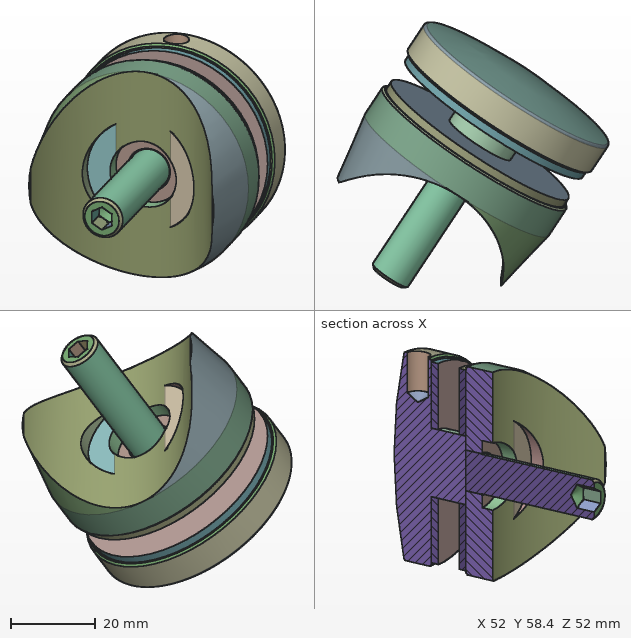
import cadquery as cq
import math


total_length = 58.45
body_diameter = 52.0

dome_height = 3.0
cap_rim_height = 8.0
cap_fillet = 0.7
cap_chamfer = 0.5
boss_diameter = 17.25
spanner_hole_diameter = 6.0
spanner_hole_depth = 10.0
drill_tip_angle = 118.0

gasket_diameter = 50.15
gasket_thickness = 2.0
glass_gap = 6.0

saddle_rim_height = 7.95
saddle_chamfer = 0.45
post_radius = 24.15
horn_height = 16.1
horn_tip_radius = 23.2
horn_middle_radius = 24.55
recess_diameter = 28.0
recess_floor_drop = 1.0
counterbore_diameter = 16.6
counterbore_depth = 3.15
thread_countersink = 0.3

screw_diameter = 10.0
screw_chamfer = 0.7
hex_across_flats = 5.0
hex_depth = 5.0

body_radius = body_diameter / 2
boss_radius = boss_diameter / 2
screw_radius = screw_diameter / 2

dome_edge_y = -dome_height
cap_back_y = dome_edge_y - cap_rim_height
cap_gasket_back_y = cap_back_y - gasket_thickness
saddle_gasket_front_y = cap_gasket_back_y - glass_gap
saddle_top_y = saddle_gasket_front_y - gasket_thickness
seat_y = saddle_top_y - saddle_rim_height
horn_tip_y = seat_y - horn_height
recess_floor_y = seat_y - recess_floor_drop
counterbore_floor_y = seat_y + counterbore_depth
screw_tip_y = -total_length


def cylinder_y(radius, start_y, end_y):
    """Solid cylinder on the Y axis, running in -Y from start_y to end_y."""
    return cq.Workplane("XZ", origin=(0, start_y, 0)).circle(radius).extrude(start_y - end_y)


def revolve_about_y(profile):
    """Turn a closed half profile, drawn in the XY plane, about the Y axis."""
    return profile.revolve(360, (0, 0), (0, 1))


def cone_height(radius):
    """Height of the pointed end that a drill leaves in a blind hole."""
    return radius / math.tan(math.radians(drill_tip_angle / 2))


def make_spanner_hole():
    """Blind drilled hole entering the cap's rim from +Z."""
    radius = spanner_hole_diameter / 2
    floor_z = body_radius - spanner_hole_depth
    hole_y = dome_edge_y - cap_rim_height / 2
    return (
        cq.Workplane("XZ", origin=(0, hole_y, 0))
        .moveTo(0, floor_z - cone_height(radius))
        .lineTo(radius, floor_z)
        .lineTo(radius, body_radius)
        .lineTo(0, body_radius)
        .close()
        .revolve(360, (0, 0), (0, 1))
    )


def make_cap():
    """Domed cap with the boss that passes through the gaskets to the saddle."""
    dome_radius = (body_radius**2 + dome_height**2) / (2 * dome_height)
    arc_middle_x = body_radius / 2
    arc_middle_y = math.sqrt(dome_radius**2 - arc_middle_x**2) - dome_radius
    disc = revolve_about_y(
        cq.Workplane("XY")
        .moveTo(0, 0)
        .threePointArc((arc_middle_x, arc_middle_y), (body_radius, dome_edge_y))
        .lineTo(body_radius, cap_back_y)
        .lineTo(0, cap_back_y)
        .close()
    )
    disc = disc.faces("<Y").edges().chamfer(cap_chamfer)
    rim_point = (0, dome_edge_y, body_radius)
    disc = disc.edges(cq.selectors.NearestToPointSelector(rim_point)).fillet(cap_fillet)
    boss = cylinder_y(boss_radius, cap_back_y, saddle_top_y)
    return disc.union(boss).cut(make_spanner_hole())


def make_gasket(start_y):
    """Flat ring around the boss."""
    end_y = start_y - gasket_thickness
    ring = cylinder_y(gasket_diameter / 2, start_y, end_y)
    return ring.cut(cylinder_y(boss_radius, start_y, end_y))


def make_saddle():
    """Base with two horns that embrace the post, and the threaded hole for the screw."""
    blank = revolve_about_y(
        cq.Workplane("XY")
        .moveTo(0, saddle_top_y)
        .lineTo(body_radius - saddle_chamfer, saddle_top_y)
        .lineTo(body_radius, saddle_top_y - saddle_chamfer)
        .lineTo(body_radius, seat_y)
        .threePointArc((horn_middle_radius, seat_y - horn_height / 2), (horn_tip_radius, horn_tip_y))
        .lineTo(0, horn_tip_y)
        .close()
    )
    post = (
        cq.Workplane("XY", origin=(0, seat_y - post_radius, 0))
        .circle(post_radius)
        .extrude(body_radius, both=True)
    )
    recess = cylinder_y(recess_diameter / 2, recess_floor_y, horn_tip_y)
    counterbore = cylinder_y(counterbore_diameter / 2, counterbore_floor_y, horn_tip_y)
    thread_hole = revolve_about_y(
        cq.Workplane("XY")
        .moveTo(0, saddle_top_y)
        .lineTo(screw_radius, saddle_top_y)
        .lineTo(screw_radius, counterbore_floor_y + thread_countersink)
        .lineTo(screw_radius + thread_countersink, counterbore_floor_y)
        .lineTo(0, counterbore_floor_y)
        .close()
    )
    return blank.cut(post).cut(recess).cut(counterbore).cut(thread_hole)


def make_screw():
    """Headless screw whose hexagon socket has corners at +Z and -Z and a drilled bottom."""
    shank = cylinder_y(screw_radius, saddle_top_y, screw_tip_y)
    shank = shank.faces("<Y").edges().chamfer(screw_chamfer)
    corner_radius = hex_across_flats / math.sqrt(3)
    socket_floor_y = screw_tip_y + hex_depth
    socket = (
        cq.Workplane("XZ", origin=(0, socket_floor_y, 0))
        .transformed(rotate=(0, 0, 90))
        .polygon(6, 2 * corner_radius)
        .extrude(hex_depth)
    )
    socket_tip = revolve_about_y(
        cq.Workplane("XY")
        .moveTo(0, socket_floor_y)
        .lineTo(corner_radius, socket_floor_y)
        .lineTo(0, socket_floor_y + cone_height(corner_radius))
        .close()
    )
    return shank.cut(socket).cut(socket_tip)


cap = make_cap()
gaskets = [make_gasket(start_y) for start_y in (cap_back_y, saddle_gasket_front_y)]
saddle = make_saddle()
screw = make_screw()

result = cq.Compound.makeCompound(
    [cap.val(), *[gasket.val() for gasket in gaskets], saddle.val(), screw.val()]
)